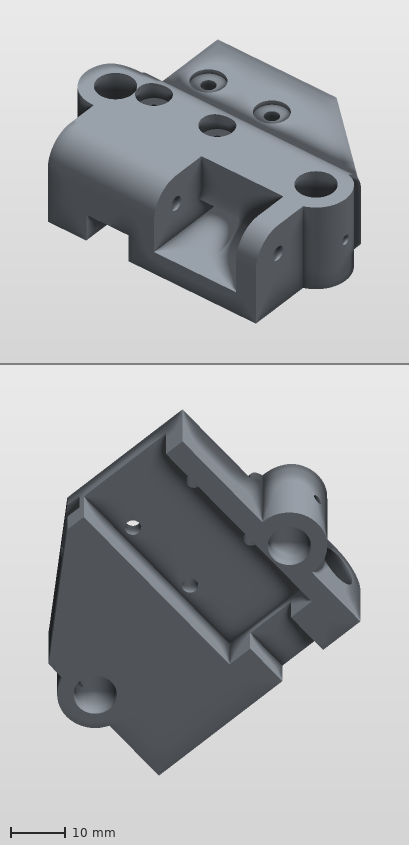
import cadquery as cq
import math

body_width = 49.25
body_depth = 50.0
body_height = 19.0
rear_height = 12.5
housing_depth = 31.0
round_radius = body_height - rear_height
rear_top_width = 28.15

overall_width = 61.5
ear_radius = 7.0
ear_overhang = 7.5
rod_diameter = 8
rod_y = 20.55
left_rod_x = ear_radius - ear_overhang
right_rod_x = left_rod_x + overall_width - 2 * ear_radius
set_screw_diameter = 2.0

recess_left = 25.15
recess_right = 44.6
recess_floor = 5.05
recess_radius = rear_height - recess_floor
passage_right = 34.7
passage_top = 9.4

slot_width = 9.95
slot_height = 6.0
slot_center_x = 14.1
pocket_width = 20.1
pocket_front = 9.05
pocket_height = 8

screw_diameter = 3.0
head_diameter = 7.0
screw_spacing_x = 15.0
screw_rows_y = (23.05, 39.1)
front_head_floor = 15.45
rear_head_depth = 1.0
head_floors = (front_head_floor, rear_height - rear_head_depth)

axle_diameter = 3.0
axle_head_diameter = 8.5
axle_head_depth = 3.0
axle_y = round_radius
axle_z = rear_height


def box(x0, x1, y0, y1, z0, z1):
    """Block between opposite corner coordinates."""
    return cq.Workplane("XY").box(x1 - x0, y1 - y0, z1 - z0, centered=False).translate((x0, y0, z0))


def cylinder_z(x, y, diameter, bottom, top):
    """Upright cylinder with its seam toward +Y, clear of crossing holes along X."""
    plane = cq.Plane(origin=(x, y, bottom), xDir=(0, 1, 0), normal=(0, 0, 1))
    return cq.Workplane(plane).circle(diameter / 2).extrude(top - bottom)


def cylinder_x(y, z, diameter, start, end):
    """Cylinder along X between two x positions."""
    return cq.Workplane("YZ", origin=(start, y, z)).circle(diameter / 2).extrude(end - start)


def make_housing():
    """Tall front block and rod ears, all rounded by the same side profile."""
    diagonal = round_radius * math.sqrt(0.5)
    back_center_y = housing_depth - round_radius
    profile = (
        cq.Workplane("YZ", origin=(-ear_overhang, 0, 0))
        .lineTo(housing_depth, 0)
        .lineTo(housing_depth, rear_height)
        .threePointArc((back_center_y + diagonal, rear_height + diagonal), (back_center_y, body_height))
        .lineTo(round_radius, body_height)
        .threePointArc((round_radius - diagonal, rear_height + diagonal), (0, rear_height))
        .close()
        .extrude(overall_width)
    )
    plan = box(0, body_width, 0, housing_depth, 0, body_height)
    for x in (left_rod_x, right_rod_x):
        plan = plan.union(cylinder_z(x, rod_y, 2 * ear_radius, 0, body_height))
    return profile.intersect(plan)


def make_rear_block():
    """Low rear block with a sloping right side."""
    return (
        cq.Workplane("XY")
        .polyline([
            (0, 0),
            (body_width, 0),
            (body_width, housing_depth),
            (rear_top_width, body_depth),
            (0, body_depth),
        ])
        .close()
        .extrude(rear_height)
    )


def make_recess():
    """Open-front recess whose back wall curves into its floor about the axle."""
    back_y = axle_y + recess_radius
    diagonal = recess_radius * math.sqrt(0.5)
    return (
        cq.Workplane("YZ", origin=(recess_left, 0, 0))
        .moveTo(0, recess_floor)
        .lineTo(axle_y, recess_floor)
        .threePointArc((axle_y + diagonal, axle_z - diagonal), (back_y, axle_z))
        .lineTo(back_y, body_height)
        .lineTo(0, body_height)
        .close()
        .extrude(recess_right - recess_left)
    )


def make_rail_clearance():
    """Full-length slot with a wider carriage pocket open at the rear."""
    half_slot = slot_width / 2
    half_pocket = pocket_width / 2
    slot = box(slot_center_x - half_slot, slot_center_x + half_slot, 0, body_depth, 0, slot_height)
    pocket = box(slot_center_x - half_pocket, slot_center_x + half_pocket,
                 pocket_front, body_depth, 0, pocket_height)
    return slot.union(pocket)


result = make_housing().union(make_rear_block())
result = result.cut(make_recess())
result = result.cut(box(recess_left, passage_right, axle_y, body_depth, recess_floor, passage_top))
result = result.cut(make_rail_clearance())

for rod_x in (left_rod_x, right_rod_x):
    result = result.cut(cylinder_z(rod_x, rod_y, rod_diameter, 0, body_height))

right_end = overall_width - ear_overhang
for start, end in ((-ear_overhang, left_rod_x), (right_rod_x, right_end)):
    result = result.cut(cylinder_x(rod_y, body_height / 2, set_screw_diameter, start, end))

for screw_y, head_floor in zip(screw_rows_y, head_floors):
    for side in (-1, 1):
        screw_x = slot_center_x + side * screw_spacing_x / 2
        result = result.cut(cylinder_z(screw_x, screw_y, screw_diameter, 0, body_height))
        result = result.cut(cylinder_z(screw_x, screw_y, head_diameter, head_floor, body_height))

result = result.cut(cylinder_x(axle_y, axle_z, axle_diameter, 0, body_width))
result = result.cut(cylinder_x(axle_y, axle_z, axle_head_diameter, 0, axle_head_depth))